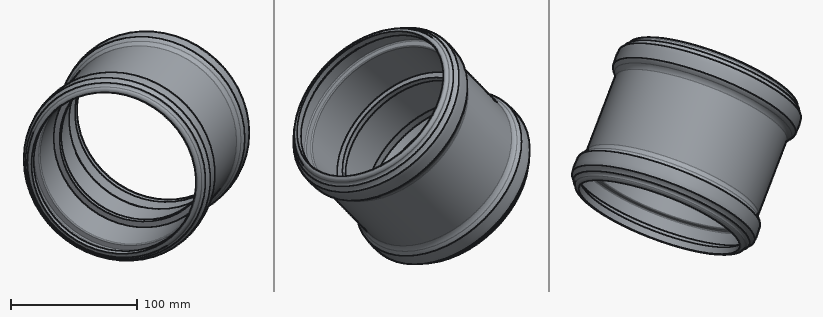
import cadquery as cq

length = 125.0
half_length = length / 2
crown_radius = 155.6 / 2
body_radius = 145.5 / 2
socket_radius = 135.8 / 2
mouth_radius = 136.1 / 2
groove_radius = 147.6 / 2
stop_radius = 125.9 / 2

lip_face_radius = 68.8
lip_shoulder = (72.2, 2.2)
lip_bulge = (71.3, 0.8)
front_hollow = (73.1, 4.2)
front_inflection = (74.5, 5.0)
front_bulge = (76.1, 7.6)
crown_front = (77.3, 9.0)
crown_back = (77.3, 21.6)
back_bulge = (76.5, 23.0)
back_inflection = (75.0, 25.0)
back_hollow = (73.6, 26.9)
bead_end = 29.5

groove_front = 10.5
groove_back = 21.6
corner_round = 1.0
mouth_end = 5.9
stop_width = 4.7


def socket_end():
    """Half of the sleeve, revolved about Y, with its mouth at +Y."""

    def at(point):
        radius, depth = point
        return radius, half_length - depth

    crown_middle = (crown_radius, (crown_front[1] + crown_back[1]) / 2)
    profile = (
        cq.Workplane("XY")
        .moveTo(socket_radius, 0)
        .lineTo(body_radius, 0)
        .lineTo(*at((body_radius, bead_end)))
        .threePointArc(at(back_hollow), at(back_inflection))
        .threePointArc(at(back_bulge), at(crown_back))
        .threePointArc(at(crown_middle), at(crown_front))
        .threePointArc(at(front_bulge), at(front_inflection))
        .threePointArc(at(front_hollow), at(lip_shoulder))
        .threePointArc(at(lip_bulge), at((lip_face_radius, 0)))
        .lineTo(*at((mouth_radius, 0)))
        .lineTo(*at((mouth_radius, mouth_end)))
        .lineTo(*at((groove_radius, groove_front)))
        .lineTo(*at((groove_radius, groove_back - corner_round)))
        .radiusArc(at((groove_radius - corner_round, groove_back)), corner_round)
        .lineTo(*at((socket_radius + corner_round, groove_back)))
        .radiusArc(at((socket_radius, groove_back + corner_round)), -corner_round)
        .close()
    )
    return profile.revolve(360, (0, 0, 0), (0, 1, 0))


def pipe_stop():
    """Central inner ring, bedded halfway into the sleeve wall."""
    bedded_radius = (socket_radius + body_radius) / 2
    return (
        cq.Workplane("XZ", origin=(0, stop_width / 2, 0))
        .circle(bedded_radius)
        .circle(stop_radius)
        .extrude(stop_width)
    )


end = socket_end()
opposite_end = end.rotate((0, 0, 0), (0, 0, 1), 180)
result = end.union(opposite_end).clean().union(pipe_stop())